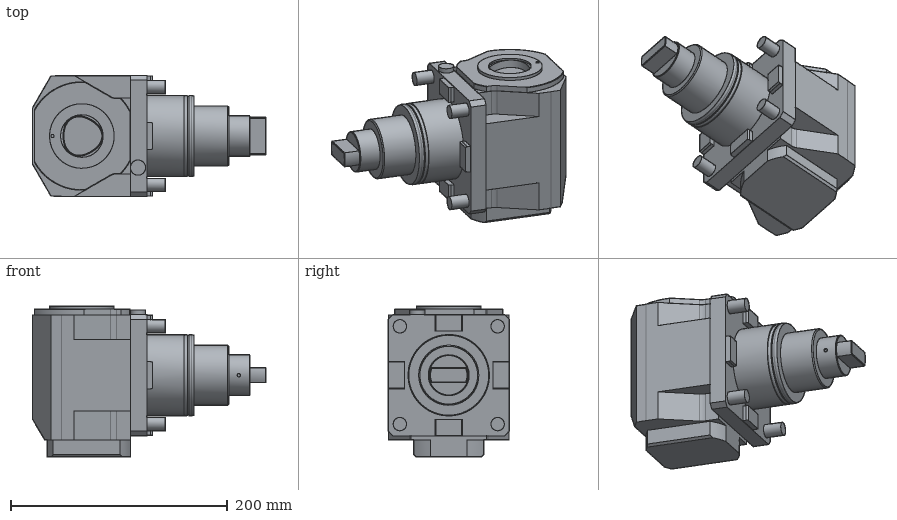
import cadquery as cq
import math


BODY_TOP = 55.7
BODY_BOTTOM = -59.6
LID_TOP = 61.0
BOSS_TOP = 63.7
FOOT_BOTTOM = -75.4

PLATE_REAR = 90.7
PLATE_FRONT = 105.8
PLATE_SIDE = 112.0
BODY_WIDTH = 111.7
HALF_WIDTH = BODY_WIDTH / 2
SHOULDER_HALF = 55.5
REAR_HALF = 25.7
BEVEL_ANGLE = 60
SHOULDER_X = (SHOULDER_HALF - REAR_HALF) / math.tan(math.radians(BEVEL_ANGLE))
FULL_WIDTH_X = 26.8
REAR_CUT_HEIGHT = 19.2
REAR_CUT_DEPTH = 11.5

POCKET_X = 38.7
POCKET_WALL_ANGLE = 30
POCKET_WALL_Y = 35.0
POCKET_FLOOR = 32.8
POCKET_BLEND = 10.4

SPINDLE_X = 45.8
LID_RADIUS = 50.1
LID_REAR = 2.0
LID_FRONT = 90.0
LID_INSET = 0.5
LID_EDGE = 0.5
BOSS_RADIUS = 29.8
BORE_RIM_RADIUS = 19.7
BORE_RIM_DEPTH = 1.7
BORE_DEPTH = 8.6
BORE_TOP_RADIUS = 18.4
BORE_FLOOR_RADIUS = 17.5
BORE_LOBE = 0.97
BORE_POINTS = 36
DOWEL_HOLE_X = 18.5
SMALL_HOLE_RADIUS = 1.5
SMALL_HOLE_DEPTH = 1.3

FOOT_REAR = 13.8
FOOT_HALF = 32.5
FOOT_REAR_HALF = 23.1
FOOT_ROUND_RADIUS = 48.0
FOOT_EDGE = 2.2

PLATE_CORNER = 4.5
BOLT_OFFSET = 45.1
BOLT_DIAMETER = 12.3
BOLT_END = 123.0
BUTTON_X = 97.6
BUTTON_Y = -29.2
BUTTON_DIAMETER = 14.0
BUTTON_TOP = 60.3
KEY_OUTER = 55.5
KEY_INNER = 41.0
KEY_LENGTH = 25.3
KEY_STRAIGHT = 3.2
KEY_LEAD = 2.0
KEY_LEAD_INSET = 0.6

FLANGE_RADIUS = 37.5
GROOVE_RADIUS = 36.7
RING_START = 140.2
RING_END = 143.5
GROOVE_END = 144.5
LIP_TAPER_X = 146.9
LIP_END = 149.5
NECK_DIAMETER = 55.5
NECK_RADIUS = NECK_DIAMETER / 2
NECK_END = 181.5
NECK_EDGE = 1.0
HUB_DIAMETER = 37.8
HUB_RADIUS = HUB_DIAMETER / 2
HUB_END = 201.0
SHAFT_EDGE = 0.6
TANG_RADIUS = 17.5
TANG_HALF = 7.0
TANG_END = 216.0
HUB_HOLE_X = 190.7


def both_sides(points):
    """Outline points at +Y, closed by their mirror images at -Y."""
    return points + [(x, -y) for x, y in reversed(points)]


def prism(points, bottom, top):
    return cq.Workplane("XY").workplane(offset=bottom).polyline(points).close().extrude(top - bottom)


def disc(x, y, radius, bottom, top):
    return cq.Workplane("XY").workplane(offset=bottom).center(x, y).circle(radius).extrude(top - bottom)


def pocket(bottom, top):
    """Pocket at +Y with a slanted wall blending into one parallel to the shaft."""
    corner_x = POCKET_X + (HALF_WIDTH - POCKET_WALL_Y) / math.tan(math.radians(POCKET_WALL_ANGLE))
    outline = [
        (POCKET_X, HALF_WIDTH),
        (corner_x, POCKET_WALL_Y),
        (PLATE_REAR, POCKET_WALL_Y),
        (PLATE_REAR, HALF_WIDTH),
    ]
    blended_edge = cq.selectors.NearestToPointSelector((corner_x, POCKET_WALL_Y, (bottom + top) / 2))
    return prism(outline, bottom, top).edges(blended_edge).fillet(POCKET_BLEND)


def make_body():
    outline = [
        (0, REAR_HALF),
        (SHOULDER_X, SHOULDER_HALF),
        (FULL_WIDTH_X, HALF_WIDTH),
        (PLATE_REAR, HALF_WIDTH),
    ]
    body = prism(both_sides(outline), BODY_BOTTOM, BODY_TOP)
    rear_cut = (
        cq.Workplane("XZ")
        .polyline([(0, BODY_BOTTOM), (REAR_CUT_DEPTH, BODY_BOTTOM), (0, BODY_BOTTOM + REAR_CUT_HEIGHT)])
        .close()
        .extrude(HALF_WIDTH, both=True)
    )
    return body.cut(rear_cut)


def make_lid():
    lid = disc(SPINDLE_X, 0, LID_RADIUS, BODY_TOP, LID_TOP)
    sides = [(LID_REAR, LID_RADIUS), (LID_FRONT, LID_RADIUS)]
    lid = lid.faces(">Z").chamfer(LID_EDGE)
    return lid.intersect(prism(both_sides(sides), BODY_TOP, LID_TOP))


def cut_both_sides(solid, cutter):
    return solid.cut(cutter).cut(cutter.mirror("XZ"))


def make_housing():
    """Body and lid; the pockets run through both, with the lid standing slightly back from their walls."""
    upper = pocket(POCKET_FLOOR, BODY_TOP)
    lower = pocket(BODY_BOTTOM, -POCKET_FLOOR)
    beside_lid = pocket(BODY_TOP, LID_TOP).translate((0, -LID_INSET, 0))
    body = cut_both_sides(cut_both_sides(make_body(), upper), lower)
    lid = cut_both_sides(make_lid(), beside_lid)
    return body.union(lid)


def make_foot():
    rear_bevel = (FOOT_HALF - FOOT_REAR_HALF) / math.tan(math.radians(BEVEL_ANGLE))
    outline = [
        (FOOT_REAR, FOOT_REAR_HALF),
        (FOOT_REAR + rear_bevel, FOOT_HALF),
        (PLATE_REAR, FOOT_HALF),
    ]
    foot = prism(both_sides(outline), FOOT_BOTTOM, BODY_BOTTOM)
    foot = foot.faces("<Y or >Y").edges("<Z").chamfer(FOOT_EDGE)
    return foot.intersect(disc(SPINDLE_X, 0, FOOT_ROUND_RADIUS, FOOT_BOTTOM, BODY_BOTTOM))


def lobed_wire(mean_radius, height):
    """Closed three-lobed polygon curve with one lobe pointing to +X."""
    points = []
    for step in range(BORE_POINTS):
        angle = 2 * math.pi * step / BORE_POINTS
        radius = mean_radius + BORE_LOBE * math.cos(3 * angle)
        points.append(cq.Vector(SPINDLE_X + radius * math.cos(angle), radius * math.sin(angle), height))
    return cq.Wire.assembleEdges([cq.Edge.makeSpline(points, periodic=True)])


def make_bore():
    """Round rim above a tapered three-lobed socket."""
    rim_floor = BOSS_TOP - BORE_RIM_DEPTH
    rim = disc(SPINDLE_X, 0, BORE_RIM_RADIUS, rim_floor, BOSS_TOP)
    mouth = lobed_wire(BORE_TOP_RADIUS, rim_floor)
    floor = lobed_wire(BORE_FLOOR_RADIUS, BOSS_TOP - BORE_DEPTH)
    return rim.union(cq.Workplane(cq.Solid.makeLoft([floor, mouth])))


def make_key():
    """Key on the +Z side of the plate front, its two ends narrowed at the tip."""
    lead_start = PLATE_FRONT + KEY_STRAIGHT
    half_length = KEY_LENGTH / 2
    outline = [
        (PLATE_FRONT, half_length),
        (lead_start, half_length),
        (lead_start + KEY_LEAD, half_length - KEY_LEAD_INSET),
    ]
    return prism(both_sides(outline), KEY_INNER, KEY_OUTER)


def make_plate():
    plate = (
        cq.Workplane("YZ", origin=(PLATE_REAR, 0, 0))
        .rect(PLATE_SIDE, PLATE_SIDE)
        .extrude(PLATE_FRONT - PLATE_REAR)
        .edges("|X")
        .chamfer(PLATE_CORNER)
    )
    bolts = (
        cq.Workplane("YZ", origin=(PLATE_FRONT, 0, 0))
        .rect(2 * BOLT_OFFSET, 2 * BOLT_OFFSET, forConstruction=True)
        .vertices()
        .circle(BOLT_DIAMETER / 2)
        .extrude(BOLT_END - PLATE_FRONT)
    )
    plate = plate.union(bolts)
    for quarter in range(4):
        plate = plate.union(make_key().rotate((0, 0, 0), (1, 0, 0), 90 * quarter))
    return plate.union(disc(BUTTON_X, BUTTON_Y, BUTTON_DIAMETER / 2, PLATE_SIDE / 2, BUTTON_TOP))


def make_shaft():
    ring_middle = (RING_START + RING_END) / 2
    turned = (
        cq.Workplane("XY")
        .moveTo(PLATE_FRONT, 0)
        .lineTo(PLATE_FRONT, FLANGE_RADIUS)
        .lineTo(RING_START, FLANGE_RADIUS)
        .lineTo(RING_START, GROOVE_RADIUS)
        .threePointArc((ring_middle, FLANGE_RADIUS), (RING_END, GROOVE_RADIUS))
        .lineTo(GROOVE_END, GROOVE_RADIUS)
        .lineTo(GROOVE_END, FLANGE_RADIUS)
        .lineTo(LIP_TAPER_X, FLANGE_RADIUS)
        .lineTo(LIP_END, FLANGE_RADIUS - SHAFT_EDGE)
        .lineTo(LIP_END, NECK_RADIUS)
        .lineTo(NECK_END - NECK_EDGE, NECK_RADIUS)
        .lineTo(NECK_END, NECK_RADIUS - NECK_EDGE)
        .lineTo(NECK_END, HUB_RADIUS)
        .lineTo(HUB_END - SHAFT_EDGE, HUB_RADIUS)
        .lineTo(HUB_END, HUB_RADIUS - SHAFT_EDGE)
        .lineTo(HUB_END, 0)
        .close()
        .revolve(360, (0, 0, 0), (1, 0, 0))
    )
    tang_length = TANG_END - HUB_END
    tang_round = cq.Workplane("YZ", origin=(HUB_END, 0, 0)).circle(TANG_RADIUS).extrude(tang_length)
    tang_flats = cq.Workplane("YZ", origin=(HUB_END, 0, 0)).rect(2 * TANG_RADIUS, 2 * TANG_HALF)
    tang = tang_round.intersect(tang_flats.extrude(tang_length))
    tang = tang.faces(">X").edges().chamfer(SHAFT_EDGE)
    hole_floor = HUB_RADIUS - SMALL_HOLE_DEPTH
    hole = (
        cq.Workplane("XZ", origin=(HUB_HOLE_X, -hole_floor, 0))
        .circle(SMALL_HOLE_RADIUS)
        .extrude(2 * SMALL_HOLE_DEPTH)
    )
    return turned.union(tang).cut(hole)


housing = make_housing()
housing = housing.union(disc(SPINDLE_X, 0, BOSS_RADIUS, LID_TOP, BOSS_TOP))
housing = housing.cut(make_bore())
housing = housing.cut(disc(DOWEL_HOLE_X, 0, SMALL_HOLE_RADIUS, BOSS_TOP - SMALL_HOLE_DEPTH, BOSS_TOP))

result = housing.union(make_foot()).union(make_plate()).union(make_shaft())